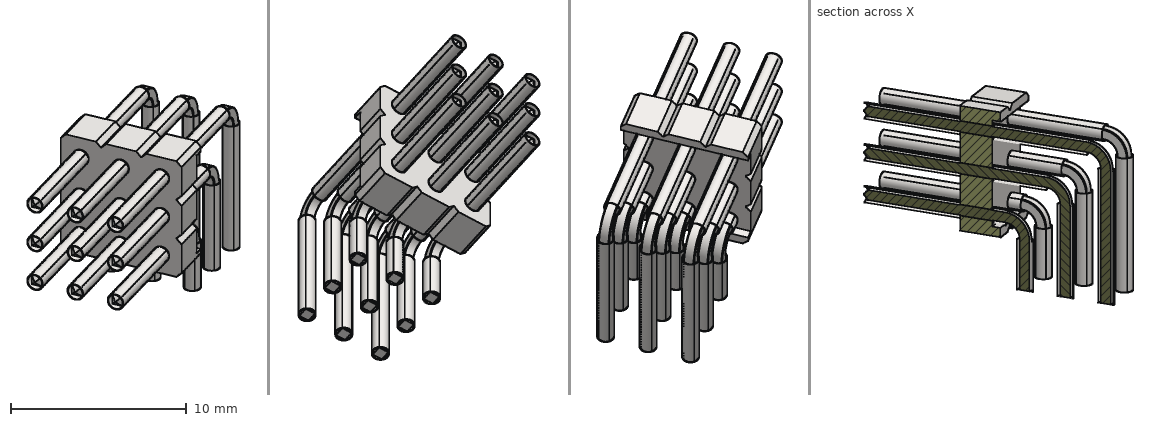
import cadquery as cq
import math

PITCH = 2.54
COLUMNS = 3
ROWS = 3
HOUSING_DEPTH = 2.54
CELL_CHAMFER = 0.32
RECESS_DEPTH = 0.52
LIP_HEIGHT = 0.6
HOUSING_WIDTH = COLUMNS * PITCH
HOUSING_HEIGHT = ROWS * PITCH
RECESS_FLOOR_Y = HOUSING_DEPTH - RECESS_DEPTH

WIRE_SIZE = 0.64
BEND_EDGE_CHAMFER = 0.05
BEND_RADIUS = 1.2
TIP_LENGTH = 0.25
TIP_FLAT = 0.04

SLEEVE_DIAMETER = 1.0
CORNER_BITE = 0.003
BORE_RADIUS = WIRE_SIZE / math.sqrt(2) - CORNER_BITE

FRONT_REACH = 6.0
TIP_OVERHANG = 0.02
TAIL_REACH = 3.0
FIRST_LEG_GAP = 1.5
TIP_BASE_Y = TIP_LENGTH - TIP_OVERHANG - FRONT_REACH

FORWARD = (0, -1, 0)
BACKWARD = (0, 1, 0)
DOWN = (0, 0, -1)


def column_x(column):
    return (column - (COLUMNS - 1) / 2) * PITCH


def row_z(row):
    return (row + 0.5) * PITCH


def section_at(y, z, direction):
    """Workplane across a pin, at a point of its centre line and facing along it."""
    return cq.Workplane(cq.Plane((0, y, z), xDir=(1, 0, 0), normal=direction))


def wire(start, length):
    return start.rect(WIRE_SIZE, WIRE_SIZE).extrude(length)


def sleeve(start, length):
    return start.circle(SLEEVE_DIAMETER / 2).circle(BORE_RADIUS).extrude(length)


def tip():
    """Blunt pyramid on the front end of the wire."""
    return (
        section_at(TIP_BASE_Y, 0, FORWARD)
        .rect(WIRE_SIZE, WIRE_SIZE)
        .workplane(offset=TIP_LENGTH)
        .rect(TIP_FLAT, TIP_FLAT)
        .loft(ruled=True)
    )


def bend(start_y):
    """Bare quarter turn of the wire, from backward to downward, with chamfered edges."""
    return (
        section_at(start_y, 0, BACKWARD)
        .sketch()
        .rect(WIRE_SIZE, WIRE_SIZE)
        .vertices()
        .chamfer(BEND_EDGE_CHAMFER)
        .finalize()
        .revolve(90, (1, BEND_RADIUS, 0), (-1, BEND_RADIUS, 0))
    )


def make_pin(row):
    """Right-angle pin of one row, with its long stretch on the Y axis."""
    leg_y = HOUSING_DEPTH + FIRST_LEG_GAP + row * PITCH
    bend_y = leg_y - BEND_RADIUS
    leg_length = row_z(row) + TAIL_REACH - BEND_RADIUS

    pin = wire(section_at(TIP_BASE_Y, 0, BACKWARD), bend_y - TIP_BASE_Y)
    pin = pin.union(tip())
    pin = pin.union(bend(bend_y))
    pin = pin.union(wire(section_at(leg_y, -BEND_RADIUS, DOWN), leg_length))

    pin = pin.union(sleeve(section_at(0, 0, FORWARD), FRONT_REACH))
    pin = pin.union(sleeve(section_at(RECESS_FLOOR_Y, 0, BACKWARD), bend_y - RECESS_FLOOR_Y))
    pin = pin.union(sleeve(section_at(leg_y, -BEND_RADIUS, DOWN), leg_length))
    return pin


def make_housing():
    """Block of chamfered square cells with a square hole for each wire and a recess across its back."""
    housing = (
        cq.Workplane("XY")
        .box(HOUSING_WIDTH - 2 * CELL_CHAMFER, HOUSING_DEPTH, HOUSING_HEIGHT - 2 * CELL_CHAMFER)
        .translate((0, HOUSING_DEPTH / 2, HOUSING_HEIGHT / 2))
    )
    cell = (
        section_at(0, 0, BACKWARD)
        .rect(PITCH, PITCH)
        .extrude(HOUSING_DEPTH)
        .edges("|Y")
        .chamfer(CELL_CHAMFER)
    )
    hole = wire(section_at(0, 0, BACKWARD), HOUSING_DEPTH)
    recess = (
        cq.Workplane("XY")
        .box(HOUSING_WIDTH, RECESS_DEPTH, HOUSING_HEIGHT - 2 * LIP_HEIGHT)
        .translate((0, HOUSING_DEPTH - RECESS_DEPTH / 2, HOUSING_HEIGHT / 2))
    )
    places = [(column_x(column), 0, row_z(row)) for row in range(ROWS) for column in range(COLUMNS)]
    for place in places:
        housing = housing.union(cell.translate(place))
    housing = housing.cut(recess)
    for place in places:
        housing = housing.cut(hole.translate(place))
    return housing


housing = make_housing()
pins = []
for row in range(ROWS):
    row_pin = make_pin(row).solids().val()
    for column in range(COLUMNS):
        pins.append(row_pin.translate(cq.Vector(column_x(column), 0, row_z(row))))

result = cq.Compound.makeCompound([housing.solids().val(), *pins])